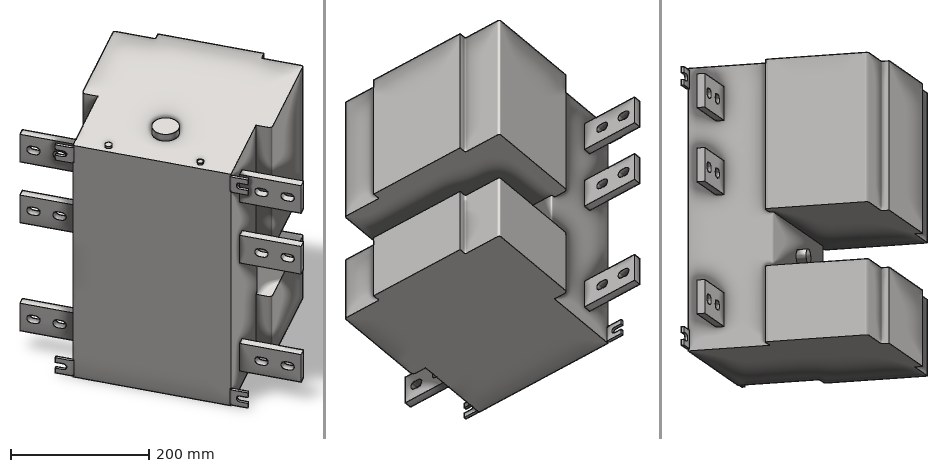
import cadquery as cq

body_width = 239.5
body_height = 419.5
overall_height = 431.5
body_front = 2.0
body_back = 132.0
body_back_radius = 2.0

housing_width = 287.5
housing_front = 126.0
housing_back = 295.3
housing_step = 12.0
raised_width = 160.5
upper_housing_bottom = 197.7
lower_housing_top = 113.0
front_corner_radius = 5.5
back_corner_radius = 3.5
step_corner_radius = 2.0

terminal_span = 426.0
terminal_height = 50.0
terminal_thickness = 12.0
terminal_front = 45.0
terminal_levels = (57.5, 253.5, 363.5)
hole_length = 20.0
hole_height = 14.0
outer_hole_x = 192.5
hole_pitch = 39.7

foot_inner_x = 117.0
foot_outer_x = 146.0
foot_height = 27.5
foot_bend_radius = 6.0
foot_thickness = 4.5
foot_leg_depth = 2 * foot_bend_radius
foot_margin = 3.0
foot_slot_height = 10.5
foot_slot_tip_x = 128.5

cap_diameter = 40.0
cap_height = overall_height - body_height
cap_y = 70.5
pin_diameter = 10.5
pin_height = 4.0
pin_neck_diameter = 8.5
pin_head_thickness = 0.5
pin_x = 69.5
pin_y = 14.5
button_diameter = 23.5
button_back = 147.0


def box_between(x_range, y_range, z_range):
    """Axis-aligned box given its limits along each axis."""
    size = [high - low for low, high in (x_range, y_range, z_range)]
    corner = (x_range[0], y_range[0], z_range[0])
    return cq.Workplane("XY").box(*size, centered=False).translate(corner)


def centered_range(center, size):
    return (center - size / 2, center + size / 2)


def make_housing(bottom, top):
    """Wide housing with a raised middle strip along its back."""
    shoulder = housing_back - housing_step
    z_range = (bottom, top)
    wide = box_between(centered_range(0, housing_width), (housing_front, shoulder), z_range)
    wide = wide.edges("|Z and <Y").fillet(front_corner_radius)
    wide = wide.edges("|Z and >Y").fillet(back_corner_radius)
    raised = box_between(centered_range(0, raised_width), (housing_front, housing_back), z_range)
    housing = wide.union(raised)
    inner_corners = cq.selectors.BoxSelector(
        (-raised_width / 2 - step_corner_radius, shoulder - step_corner_radius, bottom),
        (raised_width / 2 + step_corner_radius, shoulder + step_corner_radius, top),
    )
    return housing.edges("|Z").edges(inner_corners).fillet(step_corner_radius)


def make_terminal(level):
    """Flat bar across the enclosure with slotted holes in both ends."""
    bar = box_between(
        centered_range(0, terminal_span),
        (terminal_front, terminal_front + terminal_thickness),
        centered_range(level, terminal_height),
    )
    inner_hole_x = outer_hole_x - hole_pitch
    hole_places = [(x, level) for x in (-outer_hole_x, -inner_hole_x, inner_hole_x, outer_hole_x)]
    holes = (
        cq.Workplane("XZ", origin=(0, terminal_front + terminal_thickness, 0))
        .pushPoints(hole_places)
        .slot2D(hole_length, hole_height)
        .extrude(terminal_thickness)
    )
    return bar.cut(holes)


def make_foot(level):
    """Right-hand bent foot with a round-ended slot open to the outside."""
    z_range = centered_range(level, foot_height)
    plate = box_between((foot_inner_x, foot_outer_x), (0, foot_thickness), z_range)
    leg = box_between((foot_inner_x, body_width / 2), (0, foot_leg_depth), z_range)
    plate = plate.union(leg).edges("|Z and <X and <Y").fillet(foot_bend_radius)
    slot_radius = foot_slot_height / 2
    slot_round_x = foot_slot_tip_x + slot_radius
    slot = box_between(
        (slot_round_x, foot_outer_x), (0, foot_thickness), centered_range(level, foot_slot_height)
    )
    slot_end = (
        cq.Workplane("XZ", origin=(slot_round_x, foot_thickness, level))
        .circle(slot_radius)
        .extrude(foot_thickness)
    )
    return plate.cut(slot).cut(slot_end)


result = box_between(
    centered_range(0, body_width), (body_front, body_back), (0, body_height)
)
result = result.edges("|Z and >Y").fillet(body_back_radius)
result = result.union(make_housing(0, lower_housing_top))
result = result.union(make_housing(upper_housing_bottom, body_height))

for terminal_level in terminal_levels:
    result = result.union(make_terminal(terminal_level))

foot_offset = foot_margin + foot_height / 2
for foot_level in (foot_offset, body_height - foot_offset):
    foot = make_foot(foot_level)
    result = result.union(foot).union(foot.mirror("YZ"))

top_face = cq.Workplane("XY", origin=(0, 0, body_height))
result = result.union(top_face.center(0, cap_y).circle(cap_diameter / 2).extrude(cap_height))
plain_pin = top_face.center(-pin_x, pin_y).circle(pin_diameter / 2).extrude(pin_height)
headed_pin = (
    top_face.center(pin_x, pin_y)
    .circle(pin_neck_diameter / 2)
    .extrude(pin_height)
    .faces(">Z")
    .workplane()
    .circle(pin_diameter / 2)
    .extrude(-pin_head_thickness)
)
result = result.union(plain_pin).union(headed_pin)

button_level = (lower_housing_top + upper_housing_bottom) / 2
button = (
    cq.Workplane("XZ", origin=(0, button_back, button_level))
    .circle(button_diameter / 2)
    .extrude(button_back - body_back)
)
result = result.union(button)